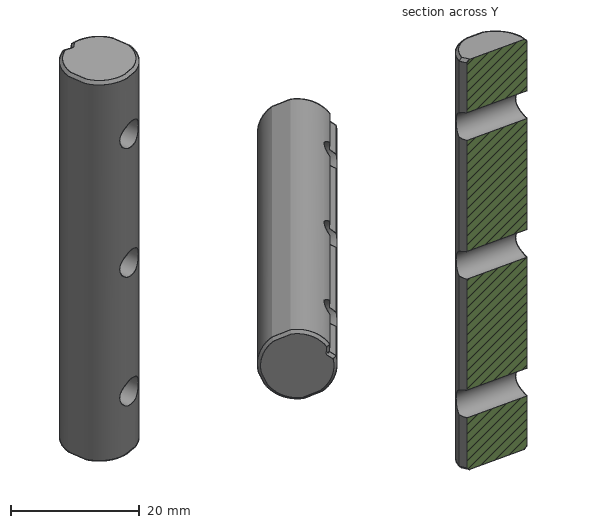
import cadquery as cq
import math

length = 74.0
radius = 6.2
width_x = 12.2
width_y = 12.0
end_chamfer = 0.5
chamfer_angle = 45.0

groove_angle = 120.0

hole_diameter = 4.92
hole_pitch = 25.0
hole_count = 3

flat_x = width_x / 2
flat_y = width_y / 2
half_width_of_x_flat = math.sqrt(radius**2 - flat_x**2)
half_width_of_y_flat = math.sqrt(radius**2 - flat_y**2)

groove_depth = half_width_of_x_flat / math.tan(math.radians(groove_angle / 2))
groove_bottom_x = -flat_x + groove_depth

arc_start_angle = math.atan2(half_width_of_x_flat, flat_x)
arc_end_angle = math.atan2(flat_y, half_width_of_y_flat)
arc_middle_angle = (arc_start_angle + arc_end_angle) / 2
arc_middle_x = radius * math.cos(arc_middle_angle)
arc_middle_y = radius * math.sin(arc_middle_angle)


def make_profile(height):
    """Closed cross-section at the given height: four arcs, three flats and the V-groove."""
    return (
        cq.Workplane("XY", origin=(0, 0, height))
        .moveTo(-half_width_of_y_flat, -flat_y)
        .lineTo(half_width_of_y_flat, -flat_y)
        .threePointArc((arc_middle_x, -arc_middle_y), (flat_x, -half_width_of_x_flat))
        .lineTo(flat_x, half_width_of_x_flat)
        .threePointArc((arc_middle_x, arc_middle_y), (half_width_of_y_flat, flat_y))
        .lineTo(-half_width_of_y_flat, flat_y)
        .threePointArc((-arc_middle_x, arc_middle_y), (-flat_x, half_width_of_x_flat))
        .lineTo(groove_bottom_x, 0)
        .lineTo(-flat_x, -half_width_of_x_flat)
        .threePointArc((-arc_middle_x, -arc_middle_y), (-half_width_of_y_flat, -flat_y))
        .close()
    )


def make_body():
    """Straight bar with a short tapered section at each end that forms the chamfer."""
    straight_length = length - 2 * end_chamfer
    straight = make_profile(end_chamfer).extrude(straight_length)
    top_end = make_profile(length - end_chamfer).extrude(end_chamfer, taper=chamfer_angle)
    bottom_end = top_end.mirror("XY", (0, 0, length / 2))
    return straight.union(top_end).union(bottom_end)


def make_cross_holes():
    """Evenly spaced cutters along X, centred on the length of the bar and longer than its width."""
    holes = cq.Workplane("YZ", origin=(0, 0, length / 2)).rarray(1, hole_pitch, 1, hole_count)
    return holes.circle(hole_diameter / 2).extrude(width_x, both=True)


result = make_body().cut(make_cross_holes())